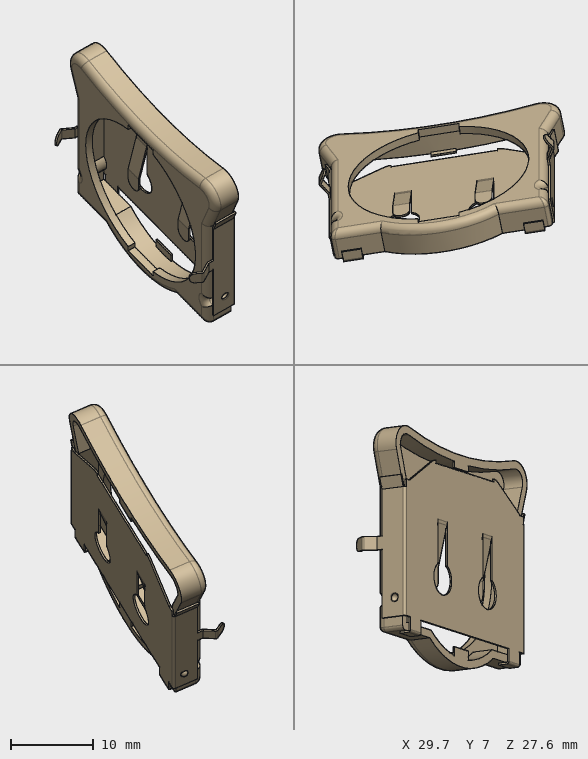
import cadquery as cq
import math


wall = 1.0
frame_depth = 3.68
half_width = 13.35
ear_x = 12.35
ear_z = 11.82
ear_radius = 2.5
ear_lean = math.radians(19)
saddle_radius = 48.66
shoulder_z = -10.95
shoulder_radius = 0.5
chin_reach = 13.3
chin_radius = 12.27
cell_radius = 11.08
notch_half_width = 2.5
notch_reach = 11.55
stop_half_width = 1.55
stop_reach = 11.05
stop_thickness = 0.25
socket_z = -6.95
socket_radius = 0.68
socket_flare = 0.9
boss_radius = socket_radius + socket_flare

sheet = 0.25
gap = 0.27
bend_inner = 0.05
bend_outer = bend_inner + sheet
plate_front = frame_depth + gap
plate_back = plate_front + sheet
flap_outer = half_width + sheet
plate_bottom = -9.33
plate_flat_x = flap_outer - bend_outer
plate_side_top = 7.55
slope_start_x = 12.5
crown_start = (7.45, 10.73)
crown_end = (6.7, 11.02)
recess_half_width = 6.55
recess_z = 10.67

flap_front = 0.85
flap_top = 6.6
flap_flare = 1.52
dimple_y = 2.65
dimple_depth = 0.5
dimple_radius = 0.6
bowl_radius = 0.48
dimple_rim = 0.1

foot_inner_x = 9.95
foot_outer_x = 12.35
foot_front = 2.7

finger_x = 5.05
finger_width = 2.08
finger_root = 3.83
finger_bend = 3.45
finger_bend_drop = 0.05
finger_knee = -1.6
finger_drop = 1.28
finger_tip_z = -3.33
finger_hole_radius = 2.02

lead_half_width = 0.83
lead_bend_y = 0.12
lead_elbow_x = 14.32
lead_elbow_y = -1.35
lead_end_x = 13.45
lead_end_y = -2.73
lead_tip_radius = 0.75

SIDES = (-1, 1)


def box(x0, x1, y0, y1, z0, z1):
    """Box between two corners, given in any order along X."""
    size = (abs(x1 - x0), y1 - y0, z1 - z0)
    return cq.Workplane("XY").box(*size).translate(((x0 + x1) / 2, (y0 + y1) / 2, (z0 + z1) / 2))


def along_y(sketch_y):
    """Workplane at a given y whose extrusions run toward +Y; local axes are -X and Z."""
    return cq.Workplane(cq.Plane((0, sketch_y, 0), xDir=(-1, 0, 0), normal=(0, 1, 0)))


def frame_block(inset, y0, y1):
    """Frame outline moved inward by an inset and extruded between two depths."""
    radius = ear_radius - inset
    side = half_width - inset
    bottom = shoulder_z + inset
    chin = chin_radius - inset
    saddle = saddle_radius + inset
    saddle_z = ear_z + math.sqrt((saddle_radius + ear_radius) ** 2 - ear_x ** 2)

    chin_center_z = chin_radius - chin_reach
    chin_x = math.sqrt(chin ** 2 - (bottom - chin_center_z) ** 2)
    knee_drop = (radius - (side - ear_x) * math.cos(ear_lean)) / math.sin(ear_lean)
    knee_z = ear_z - knee_drop
    flank = (ear_x + radius * math.cos(ear_lean), ear_z - radius * math.sin(ear_lean))
    ear_end_angle = math.atan2(saddle_z - ear_z, -ear_x)
    ear_end = (ear_x + radius * math.cos(ear_end_angle), ear_z + radius * math.sin(ear_end_angle))
    ear_mid_angle = (ear_end_angle - ear_lean) / 2
    ear_mid = (ear_x + radius * math.cos(ear_mid_angle), ear_z + radius * math.sin(ear_mid_angle))

    def mirrored(point):
        return (-point[0], point[1])

    return (
        along_y(y0)
        .moveTo(-chin_x, bottom)
        .threePointArc((0, chin_center_z - chin), (chin_x, bottom))
        .lineTo(side, bottom)
        .lineTo(side, knee_z)
        .lineTo(*flank)
        .threePointArc(ear_mid, ear_end)
        .threePointArc((0, saddle_z - saddle), mirrored(ear_end))
        .threePointArc(mirrored(ear_mid), mirrored(flank))
        .lineTo(-side, knee_z)
        .lineTo(-side, bottom)
        .close()
        .extrude(y1 - y0)
    )


def socket_cutter(side):
    """Round groove along Y with a trumpet mouth at the front face."""
    slant = socket_flare * (1 - math.sqrt(0.5))
    return (
        cq.Workplane("XY")
        .lineTo(boss_radius, 0)
        .threePointArc((socket_radius + slant, slant), (socket_radius, socket_flare))
        .lineTo(socket_radius, frame_depth)
        .lineTo(0, frame_depth)
        .close()
        .revolve(360, (0, 0, 0), (0, 1, 0))
        .translate((side * half_width, 0, socket_z))
    )


def make_frame():
    outer = frame_block(0, 0, frame_depth)
    outer = outer.faces("<Y").edges().fillet(wall)
    for side in SIDES:
        corner = cq.selectors.NearestToPointSelector((side * half_width, frame_depth / 2, shoulder_z))
        outer = outer.edges("|Y").edges(corner).fillet(shoulder_radius)

    frame = outer.cut(frame_block(wall, wall, frame_depth))
    frame = frame.cut(along_y(0).circle(cell_radius).extrude(wall))
    frame = frame.cut(box(-notch_half_width, notch_half_width, 0, wall, -notch_reach, notch_reach))

    bosses = (
        along_y(wall / 2)
        .pushPoints([(side * half_width, socket_z) for side in SIDES])
        .circle(boss_radius)
        .extrude(frame_depth - wall / 2)
    )
    frame = frame.union(bosses.intersect(outer))
    for side in SIDES:
        frame = frame.cut(socket_cutter(side))

    stops = box(-stop_half_width, stop_half_width, frame_depth - stop_thickness, frame_depth,
                -chin_reach, ear_z + ear_radius)
    stops = stops.cut(box(-stop_half_width, stop_half_width, 0, frame_depth, -stop_reach, stop_reach))
    return frame.union(stops.intersect(outer))


def strip(points, plane, length):
    """Sheet of constant thickness following a centre line, extruded evenly to both sides of a plane."""
    directions = []
    for (u0, v0), (u1, v1) in zip(points, points[1:]):
        directions.append(math.atan2(v1 - v0, u1 - u0))
    arriving = directions[:1] + directions
    leaving = directions + directions[-1:]

    left = []
    right = []
    for (u, v), angle_in, angle_out in zip(points, arriving, leaving):
        miter = sheet / 2 / math.cos((angle_out - angle_in) / 2)
        normal = (angle_in + angle_out) / 2 + math.pi / 2
        left.append((u + miter * math.cos(normal), v + miter * math.sin(normal)))
        right.append((u - miter * math.cos(normal), v - miter * math.sin(normal)))
    return cq.Workplane(plane).polyline(left + right[::-1]).close().extrude(length / 2, both=True)


def make_plate():
    """Flat back of the contact, up to the start of the side bends."""
    half = (
        along_y(plate_front)
        .moveTo(0, plate_bottom)
        .lineTo(plate_flat_x, plate_bottom)
        .lineTo(plate_flat_x, plate_side_top)
        .lineTo(slope_start_x, plate_side_top)
        .lineTo(*crown_start)
        .tangentArcPoint(crown_end, relative=False)
        .lineTo(recess_half_width, crown_end[1])
        .lineTo(recess_half_width, recess_z)
        .lineTo(0, recess_z)
        .close()
        .extrude(sheet)
    )
    return half.union(half.mirror("YZ"))


def make_flap():
    """Right-hand flap with its side bend, flared top and inward dimple."""
    middle = half_width + sheet / 2
    bend_y = plate_back - bend_outer

    length = flap_top - plate_bottom
    plate_middle = plate_back - sheet / 2
    profile = [(plate_flat_x - sheet, plate_middle), (middle, plate_middle), (middle, flap_front)]
    flap = strip(profile, "XY", length).translate((0, 0, plate_bottom + length / 2))
    flap = flap.edges("|Z and >Y and >X").fillet(bend_outer)
    inner_corner = cq.selectors.NearestToPointSelector((half_width, plate_front, plate_bottom + length / 2))
    flap = flap.edges("|Z").edges(inner_corner).fillet(bend_inner)

    flare_end = (middle + flap_flare * math.sin(ear_lean), flap_top + flap_flare * math.cos(ear_lean))
    flare_path = [(middle, flap_top - sheet), (middle, flap_top), flare_end]
    flare = strip(flare_path, "XZ", bend_y - flap_front)
    flap = flap.union(flare.translate((0, (bend_y + flap_front) / 2, 0)))

    dome_x = half_width - dimple_depth + dimple_radius
    dome = cq.Workplane("XY").sphere(dimple_radius).translate((dome_x, dimple_y, socket_z))
    bowl = cq.Workplane("XY").sphere(bowl_radius).translate((dome_x, dimple_y, socket_z))
    mouth = (
        cq.Workplane("YZ", origin=(dome_x, 0, 0))
        .center(dimple_y, socket_z)
        .circle(bowl_radius)
        .extrude(sheet)
    )
    inside = box(0, flap_outer, 0, plate_back, plate_bottom, flap_top)
    flap = flap.union(dome.intersect(inside)).cut(bowl).cut(mouth)
    rim = cq.selectors.BoxSelector(
        (flap_outer - sheet / 4, dimple_y - dimple_radius, socket_z - dimple_radius),
        (flap_outer + sheet / 4, dimple_y + dimple_radius, socket_z + dimple_radius),
    )
    return flap.edges(rim).fillet(dimple_rim)


def make_lead():
    """Right-hand solder lead, kinked outward and rounded at its tip."""
    middle = half_width + sheet / 2
    path = [
        (middle, flap_front),
        (middle, lead_bend_y),
        (lead_elbow_x, lead_elbow_y),
        (lead_end_x, lead_end_y),
    ]
    lead = strip(path, "XY", 2 * lead_half_width)
    elbow = lead.edges(cq.selectors.BoxSelector(
        (lead_elbow_x - sheet, lead_elbow_y - sheet, -sheet),
        (lead_elbow_x + sheet, lead_elbow_y + sheet, sheet),
    ))
    lead = elbow.edges(">X").fillet(bend_outer)
    elbow_inside = cq.selectors.NearestToPointSelector((lead_elbow_x - sheet, lead_elbow_y, 0))
    lead = lead.edges("|Z").edges(elbow_inside).fillet(bend_inner)

    end_corners = cq.selectors.BoxSelector(
        (lead_end_x - sheet, lead_end_y - sheet, -2 * lead_half_width),
        (lead_end_x + sheet, lead_end_y + sheet, 2 * lead_half_width),
    )
    return lead.edges(end_corners).edges("not |Z").fillet(lead_tip_radius)


def make_foot():
    """Right-hand foot, folded forward under the bottom edge of the frame."""
    middle_y = plate_back - sheet / 2
    middle_z = shoulder_z - sheet / 2
    path = [(middle_y, plate_bottom), (middle_y, middle_z), (foot_front, middle_z)]
    foot = strip(path, "YZ", foot_outer_x - foot_inner_x)
    foot = foot.edges("|X and >Y and <Z").fillet(bend_outer)
    return foot.translate(((foot_outer_x + foot_inner_x) / 2, 0, 0))


def make_finger():
    """Spring finger pressed forward out of the plate, in the plane x = 0."""
    middle_y = plate_front + sheet / 2
    path = [
        (middle_y, finger_root + sheet),
        (middle_y, finger_root),
        (middle_y - finger_bend_drop, finger_bend),
        (middle_y - finger_drop, finger_knee),
        (middle_y - finger_drop, finger_tip_z),
    ]
    finger = strip(path, "YZ", finger_width)
    tip = (
        along_y(plate_front - finger_drop)
        .center(0, finger_tip_z)
        .circle(finger_width / 2)
        .extrude(sheet)
    )
    return finger.union(tip)


def finger_opening():
    """Slot and round hole left in the plate by one finger, in the plane x = 0."""
    hole = along_y(plate_front).center(0, finger_tip_z).circle(finger_hole_radius).extrude(sheet)
    half = finger_width / 2
    return hole.union(box(-half, half, plate_front, plate_back, finger_tip_z, finger_root))


def make_contact():
    contact = make_plate()
    for side in SIDES:
        place = (side * finger_x, 0, 0)
        contact = contact.cut(finger_opening().translate(place))
        contact = contact.union(make_finger().translate(place))

    for part in (make_flap(), make_lead(), make_foot()):
        contact = contact.union(part).union(part.mirror("YZ"))
    return contact


frame = make_frame()
contact = make_contact()

result = cq.Compound.makeCompound([frame.solids().val(), contact.solids().val()])